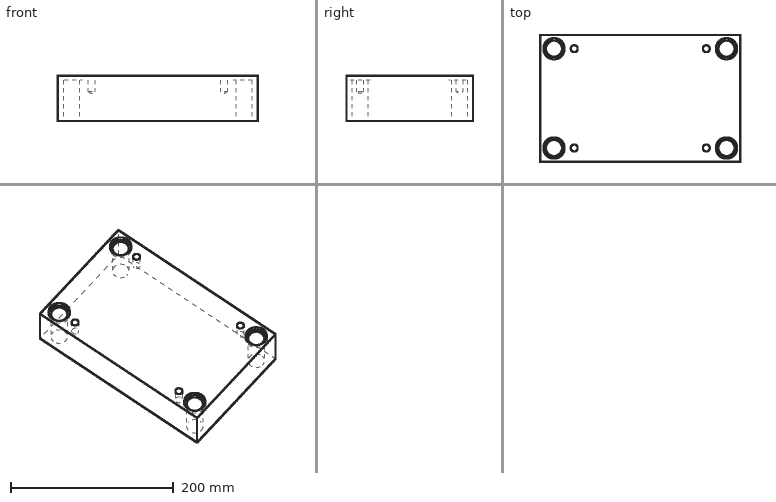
import cadquery as cq
import math

length = 245.7
width = 155.8
height = 56.0

bolt_spacing_x = 211.8
bolt_spacing_y = 121.9
bolt_diameter = 20.0
counterbore_diameter = 26.0
counterbore_depth = 5.5

pilot_spacing_x = 162.2
pilot_spacing_y = bolt_spacing_y
pilot_diameter = 8.5
pilot_depth = 19.7
drill_point_angle = 118.0


def make_block():
    """Block centred in X and Y, standing on Z = 0."""
    return cq.Workplane("XY").box(length, width, height, centered=(True, True, False))


def cut_bolt_holes(body):
    """Four through holes, counterbored from the top face."""
    return (
        body.faces(">Z").workplane(origin=(0, 0, height))
        .rect(bolt_spacing_x, bolt_spacing_y, forConstruction=True)
        .vertices()
        .cboreHole(bolt_diameter, counterbore_diameter, counterbore_depth)
    )


def cut_pilot_holes(body):
    """Four blind holes ending in a drill point."""
    radius = pilot_diameter / 2
    point_length = radius / math.tan(math.radians(drill_point_angle / 2))
    shoulder = height - pilot_depth
    drill = (
        cq.Workplane("XZ")
        .moveTo(0, height)
        .lineTo(radius, height)
        .lineTo(radius, shoulder)
        .lineTo(0, shoulder - point_length)
        .close()
        .revolve(360, (0, 0, 0), (0, 1, 0))
    )
    for side_x in (-1, 1):
        for side_y in (-1, 1):
            place = (side_x * pilot_spacing_x / 2, side_y * pilot_spacing_y / 2, 0)
            body = body.cut(drill.translate(place))
    return body


result = cut_pilot_holes(cut_bolt_holes(make_block()))